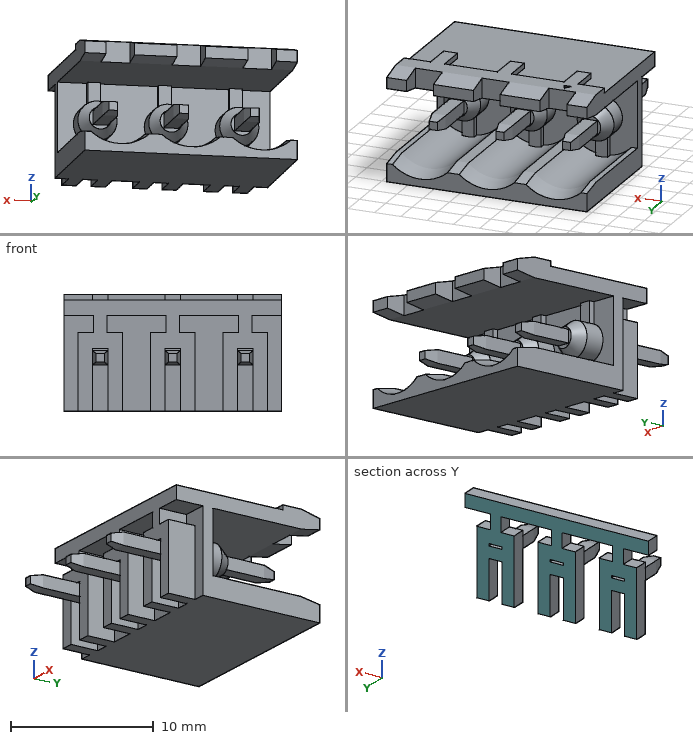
import cadquery as cq


POLES = 3
PITCH = 5.08
WIDTH = POLES * PITCH
DEPTH = 12.1
HEIGHT = 8.2
PLATE_TOP = 7.81
PLATE_BOTTOM = 6.7
FLOOR_TOP = 1.66
WALL_FRONT = 3.1
POLE_POSITIONS = [(i - (POLES - 1) / 2) * PITCH for i in range(POLES)]

LIP_LENGTH = 1.56
PLATE_LIP_BOTTOM = 6.97
FLOOR_LIP_TOP = 1.37
FLOOR_LIP_LENGTH = 1.65
LIP_NOTCH_WIDTH = 2.05

RAIL_REAR = 8.98
FINGER_REAR = 6.65
FINGER_WIDTH = 1.06

MARK_WIDTH = 0.52
MARK_LENGTH = 0.52
MARK_REAR = 9.61
MARK_DEPTH = 0.1

POCKET_DEPTH = 2.24
POST_WIDTH = 3.12
POST_TOP = 5.52
NECK_WIDTH = 0.92
SLOT_WIDTH = 1.06
SLOT_TOP = 4.4

PIN_WIDTH = 1.06
PIN_HEIGHT = 1.0
PIN_AXIS_Z = 3.75
PIN_FRONT = 9.75
PIN_REAR = DEPTH - 16.1
PIN_TIP_SIZE = 0.61
FRONT_TIP_LENGTH = 1.0
REAR_TIP_LENGTH = 0.93

COLLAR_RADIUS = 1.4
COLLAR_END_RADIUS = 0.79
COLLAR_SHOULDER = 4.6
COLLAR_FRONT = 5.54
RIB_WIDTH = 0.92
RIB_FRONT = 3.55

TROUGH_RADIUS = 2.96
TROUGH_MOUTH_RADIUS = 3.17


def block(x_center, width, y_start, y_end, z_start, z_end):
    """Box centred on x_center and spanning the given Y and Z ranges."""
    size = (width, y_end - y_start, z_end - z_start)
    corner = (x_center - width / 2, y_start, z_start)
    return cq.Workplane("XY").box(*size, centered=False).translate(corner)


def housing_body():
    """C-shaped side profile extruded across all poles."""
    return (
        cq.Workplane("YZ")
        .moveTo(0, 0)
        .lineTo(DEPTH, 0)
        .lineTo(DEPTH, FLOOR_LIP_TOP)
        .lineTo(DEPTH - FLOOR_LIP_LENGTH, FLOOR_TOP)
        .lineTo(WALL_FRONT, FLOOR_TOP)
        .lineTo(WALL_FRONT, PLATE_BOTTOM)
        .lineTo(DEPTH - LIP_LENGTH, PLATE_BOTTOM)
        .lineTo(DEPTH, PLATE_LIP_BOTTOM)
        .lineTo(DEPTH, PLATE_TOP)
        .lineTo(DEPTH - LIP_LENGTH, HEIGHT)
        .lineTo(RAIL_REAR, HEIGHT)
        .lineTo(RAIL_REAR, PLATE_TOP)
        .lineTo(0, PLATE_TOP)
        .close()
        .extrude(WIDTH / 2, both=True)
    )


def rear_pockets():
    """Material removed from the rear wall, leaving a slotted, necked post per pole."""
    pockets = block(0, WIDTH, 0, POCKET_DEPTH, 0, PLATE_BOTTOM)
    for x in POLE_POSITIONS:
        post = block(x, POST_WIDTH, 0, POCKET_DEPTH, 0, POST_TOP)
        neck = block(x, NECK_WIDTH, 0, POCKET_DEPTH, POST_TOP, PLATE_BOTTOM)
        slot = block(x, SLOT_WIDTH, 0, POCKET_DEPTH, 0, SLOT_TOP)
        pockets = pockets.cut(post).cut(neck).union(slot)
    return pockets


def trough(x):
    """Lower half of a round bore about the pin axis, flared along the floor lip."""
    flare_start = DEPTH - FLOOR_LIP_LENGTH
    return (
        cq.Workplane("XY")
        .moveTo(0, WALL_FRONT)
        .lineTo(TROUGH_RADIUS, WALL_FRONT)
        .lineTo(TROUGH_RADIUS, flare_start)
        .lineTo(TROUGH_MOUTH_RADIUS, DEPTH)
        .lineTo(0, DEPTH)
        .close()
        .revolve(180, (0, 0), (0, 1))
        .translate((x, 0, PIN_AXIS_Z))
    )


def collar(x):
    """Round boss with a conical nose, standing on the rear wall."""
    return (
        cq.Workplane("XY")
        .moveTo(0, POCKET_DEPTH)
        .lineTo(COLLAR_RADIUS, POCKET_DEPTH)
        .lineTo(COLLAR_RADIUS, COLLAR_SHOULDER)
        .lineTo(COLLAR_END_RADIUS, COLLAR_FRONT)
        .lineTo(0, COLLAR_FRONT)
        .close()
        .revolve(360, (0, 0), (0, 1))
        .translate((x, 0, PIN_AXIS_Z))
    )


def pin_tip(x, y_base, y_end):
    """Tapered end of a pin running from y_base to y_end."""
    return (
        cq.Workplane("XZ", origin=(x, y_base, PIN_AXIS_Z))
        .rect(PIN_WIDTH, PIN_HEIGHT)
        .workplane(offset=y_base - y_end)
        .rect(PIN_TIP_SIZE, PIN_TIP_SIZE)
        .loft(ruled=True)
    )


def pin(x):
    """Rectangular pin, tapered at both ends."""
    front_base = PIN_FRONT - FRONT_TIP_LENGTH
    rear_base = PIN_REAR + REAR_TIP_LENGTH
    bottom = PIN_AXIS_Z - PIN_HEIGHT / 2
    shank = block(x, PIN_WIDTH, rear_base, front_base, bottom, bottom + PIN_HEIGHT)
    return shank.union(pin_tip(x, front_base, PIN_FRONT)).union(pin_tip(x, rear_base, PIN_REAR))


def pin_one_mark(x):
    """Triangular recess pointing towards the mating side."""
    return (
        cq.Workplane("XY", origin=(x, MARK_REAR, HEIGHT - MARK_DEPTH))
        .moveTo(-MARK_WIDTH / 2, 0)
        .lineTo(MARK_WIDTH / 2, 0)
        .lineTo(0, MARK_LENGTH)
        .close()
        .extrude(MARK_DEPTH)
    )


result = housing_body().cut(rear_pockets())

for pole_x in POLE_POSITIONS:
    lip_notch = block(pole_x, LIP_NOTCH_WIDTH, DEPTH - LIP_LENGTH, DEPTH, PLATE_BOTTOM, HEIGHT)
    result = result.cut(trough(pole_x)).cut(lip_notch)

for pole_x in POLE_POSITIONS:
    finger = block(pole_x, FINGER_WIDTH, FINGER_REAR, RAIL_REAR, PLATE_TOP, HEIGHT)
    rib = block(pole_x, RIB_WIDTH, POCKET_DEPTH, RIB_FRONT, 0, PLATE_BOTTOM)
    result = result.union(finger).union(rib).union(collar(pole_x)).union(pin(pole_x))

result = result.cut(pin_one_mark(POLE_POSITIONS[0]))